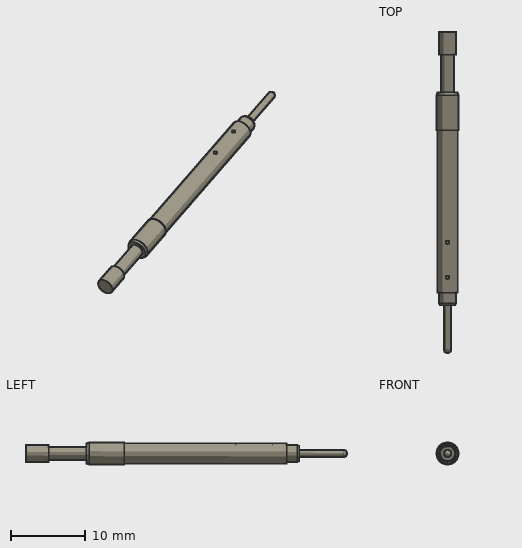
import cadquery as cq
import math

cap_diameter = 2.3
stem_diameter = 1.8
collar_diameter = 3.0
barrel_diameter = 2.8
nose_diameter = 2.3
pin_diameter = 1.0

overall_length = 43.3
cap_start = 40.23
collar_end = 35.15
collar_start = 30.05
barrel_start = 8.15
nose_start = 6.45

collar_chamfer_length = 0.4
collar_chamfer_depth = 0.15
nose_chamfer_length = 0.25
nose_chamfer_depth = 0.15

dimple_radius = 0.24
dimple_stations = (14.95, 10.2)


def turned_body():
    """Revolve the half outline, drawn in the XY plane, about the Y axis."""
    pin_radius = pin_diameter / 2
    stem_radius = stem_diameter / 2
    cap_radius = cap_diameter / 2
    collar_radius = collar_diameter / 2
    barrel_radius = barrel_diameter / 2
    nose_radius = nose_diameter / 2
    tip_mid_x = pin_radius * math.sin(math.pi / 4)
    tip_mid_y = pin_radius * (1 - math.cos(math.pi / 4))

    outline = (
        cq.Workplane("XY")
        .moveTo(0, 0)
        .threePointArc((tip_mid_x, tip_mid_y), (pin_radius, pin_radius))
        .lineTo(pin_radius, nose_start)
        .lineTo(nose_radius - nose_chamfer_depth, nose_start)
        .lineTo(nose_radius, nose_start + nose_chamfer_length)
        .lineTo(nose_radius, barrel_start)
        .lineTo(barrel_radius, barrel_start)
        .lineTo(barrel_radius, collar_start)
        .lineTo(collar_radius, collar_start)
        .lineTo(collar_radius, collar_end - collar_chamfer_length)
        .lineTo(collar_radius - collar_chamfer_depth, collar_end)
        .lineTo(stem_radius, collar_end)
        .lineTo(stem_radius, cap_start)
        .lineTo(cap_radius, cap_start)
        .lineTo(cap_radius, overall_length)
        .lineTo(0, overall_length)
        .close()
    )
    return outline.revolve(360, (0, 0, 0), (0, 1, 0))


def dimple(station):
    """Ball cutter centred on the top line of the barrel."""
    return cq.Workplane("XY").sphere(dimple_radius).translate((0, station, barrel_diameter / 2))


result = turned_body()
for station in dimple_stations:
    result = result.cut(dimple(station))